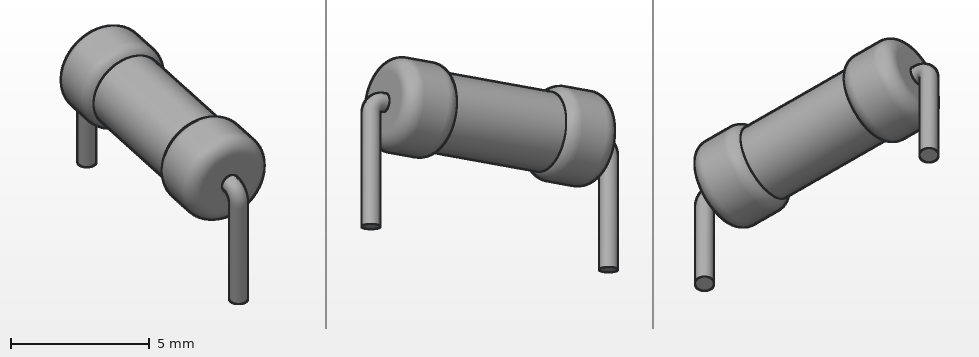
import cadquery as cq

overall_length = 10.86
body_length = 9.02
barrel_diameter = 2.94
cap_diameter = 3.5
cap_length = 2.26
cap_rounding = 0.58
lead_diameter = 0.7
lead_bend_radius = 0.5
overall_height = 6.5

lead_x = (overall_length - lead_diameter) / 2
lead_bottom_z = cap_diameter / 2 - overall_height


def make_barrel():
    """Slim cylinder running between the middles of the two caps."""
    barrel_length = body_length - cap_length
    return (
        cq.Workplane("YZ")
        .workplane(offset=-barrel_length / 2)
        .circle(barrel_diameter / 2)
        .extrude(barrel_length)
    )


def make_cap(side):
    """Rounded end cap; side is -1 for the -X end and +1 for the +X end."""
    center_x = side * (body_length - cap_length) / 2
    return (
        cq.Workplane("YZ")
        .workplane(offset=center_x - cap_length / 2)
        .circle(cap_diameter / 2)
        .extrude(cap_length)
        .edges()
        .fillet(cap_rounding)
    )


def make_lead(side):
    """Round wire rising from the bottom and bending into the cap center."""
    bend_end_x = lead_x - lead_bend_radius
    inner_end_x = (body_length - cap_length) / 2
    bend_center = (side * bend_end_x, -lead_bend_radius)
    bend_middle = (
        bend_center[0] + side * lead_bend_radius * 0.5**0.5,
        bend_center[1] + lead_bend_radius * 0.5**0.5,
    )
    path = (
        cq.Workplane("XZ")
        .moveTo(side * lead_x, lead_bottom_z)
        .lineTo(side * lead_x, -lead_bend_radius)
        .threePointArc(bend_middle, (side * bend_end_x, 0))
        .lineTo(side * inner_end_x, 0)
    )
    return (
        cq.Workplane("XY", origin=(side * lead_x, 0, lead_bottom_z))
        .circle(lead_diameter / 2)
        .sweep(path)
    )


result = make_barrel()
for end_side in (-1, 1):
    result = result.union(make_cap(end_side)).union(make_lead(end_side))